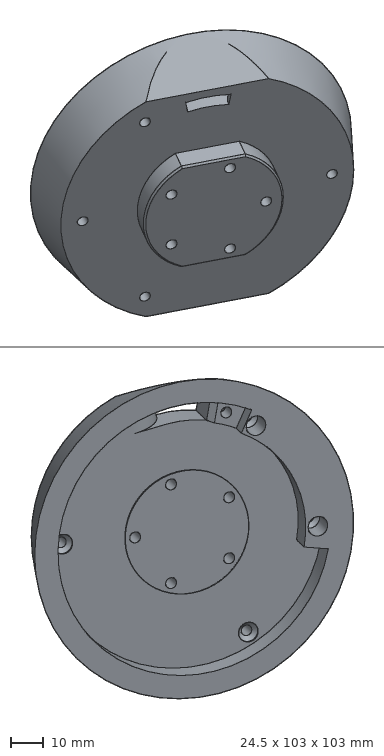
import cadquery as cq
import math

FLANGE_THICKNESS = 17.5
FRONT_RADIUS = 51.5
BACK_RADIUS = 47.0

FLAT_BACK_HEIGHT = 42.6
FLAT_ANGLE = 27.6

BOSS_HEIGHT = 7.0
BOSS_RADIUS = 22.5
BOSS_FLAT_HEIGHT = 20.0
BOSS_CHAMFER = 0.6
OVERALL_LENGTH = FLANGE_THICKNESS + BOSS_HEIGHT

POCKET_DEPTH = 7.5
POCKET_OUTER_RADIUS = 44.0
POCKET_INNER_RADIUS = 36.0
POCKET_END_ANGLE = 350.0
PAD_RADIUS = 20.0
PAD_HEIGHT = 0.5

SHELF_DEPTH = 5.0
SHELF_START_ANGLE = 65.0
SHELF_BEVEL = 2.0

OPENING_START_ANGLE = 80.0
OPENING_END_ANGLE = 101.0
OPENING_BACK_RADIUS = 40.0
RAMP_RADIUS = FLANGE_THICKNESS - POCKET_DEPTH

SHELF_HOLE_ANGLE = (SHELF_START_ANGLE + OPENING_START_ANGLE) / 2
SHELF_HOLE_CIRCLE_RADIUS = 40.0
SHELF_HOLE_DIAMETER = 3.5
SHELF_HOLE_DEPTH = 6.2
DRILL_POINT_ANGLE = 118.0

SCREW_CIRCLE_RADIUS = 40.0
SCREW_ANGLES = (-60, 0, 60, 180)
SCREW_DIAMETER = 3.4
SCREW_HEAD_DIAMETER = 6.3
SCREW_SEAT_DEPTH = 8.0

BOSS_HOLE_CIRCLE_RADIUS = 16.8
BOSS_HOLE_COUNT = 5
BOSS_HOLE_START_ANGLE = 180.0
BOSS_HOLE_DIAMETER = 3.5

CLEARANCE = 5.2


def polar(radius, angle):
    """Point on a face plane, with the angle in degrees."""
    return radius * math.cos(math.radians(angle)), radius * math.sin(math.radians(angle))


def face_plane(depth):
    """Plane facing -X at a depth, with local x along -Y and local y along +Z."""
    return cq.Plane(origin=(depth, 0, 0), xDir=(0, -1, 0), normal=(-1, 0, 0))


def radial_plane(angle, radius):
    """Plane facing outwards along the radius at the angle, with local x along the depth."""
    across, up = polar(1.0, angle)
    return cq.Plane(origin=(0, -across * radius, up * radius), xDir=(1, 0, 0), normal=(0, -across, up))


def drilling(depth, length, radius, angle, diameter):
    """Cylinder along X, starting at the depth."""
    face = cq.Workplane(face_plane(depth))
    return face.center(*polar(radius, angle)).circle(diameter / 2).extrude(-length)


def cone(depth, length, radius, angle, start_diameter, end_diameter=0.0):
    """Cone along X, narrowing from the depth."""
    across, up = polar(radius, angle)
    solid = cq.Solid.makeCone(
        start_diameter / 2, end_diameter / 2, length, cq.Vector(depth, -across, up), cq.Vector(1, 0, 0)
    )
    return cq.Workplane(obj=solid)


def ring_sector(start, end, inner, outer, depth, length):
    """Part of a ring between two angles, cut from the depth towards +X."""
    middle = (start + end) / 2
    return (
        cq.Workplane(face_plane(depth))
        .moveTo(*polar(inner, start))
        .lineTo(*polar(outer, start))
        .threePointArc(polar(outer, middle), polar(outer, end))
        .lineTo(*polar(inner, end))
        .threePointArc(polar(inner, middle), polar(inner, start))
        .close()
        .extrude(-length)
    )


def flange():
    body = (
        cq.Workplane("XY")
        .lineTo(0, FRONT_RADIUS)
        .lineTo(FLANGE_THICKNESS, BACK_RADIUS)
        .lineTo(FLANGE_THICKNESS, 0)
        .close()
        .revolve(360, (0, 0, 0), (1, 0, 0))
    )
    flat_front_height = FLAT_BACK_HEIGHT + FLANGE_THICKNESS * math.tan(math.radians(FLAT_ANGLE))
    between_flats = (
        cq.Workplane("XZ")
        .moveTo(0, -flat_front_height)
        .lineTo(FLANGE_THICKNESS, -FLAT_BACK_HEIGHT)
        .lineTo(FLANGE_THICKNESS, FLAT_BACK_HEIGHT)
        .lineTo(0, flat_front_height)
        .close()
        .extrude(FRONT_RADIUS, both=True)
    )
    return body.intersect(between_flats)


def boss():
    cylinder = cq.Workplane("YZ").workplane(offset=FLANGE_THICKNESS).circle(BOSS_RADIUS).extrude(BOSS_HEIGHT)
    between_flats = cq.Workplane("XY").box(2 * OVERALL_LENGTH, 2 * BOSS_RADIUS, 2 * BOSS_FLAT_HEIGHT)
    return cylinder.intersect(between_flats).faces(">X").chamfer(BOSS_CHAMFER)


def pocket():
    core = cq.Workplane(face_plane(0)).circle(POCKET_INNER_RADIUS).extrude(-POCKET_DEPTH)
    track = ring_sector(
        OPENING_START_ANGLE, POCKET_END_ANGLE, POCKET_INNER_RADIUS, POCKET_OUTER_RADIUS, 0, POCKET_DEPTH
    )
    shelf = ring_sector(
        SHELF_START_ANGLE, OPENING_START_ANGLE, POCKET_INNER_RADIUS, POCKET_OUTER_RADIUS, 0, SHELF_DEPTH
    )
    pad = cq.Workplane(face_plane(POCKET_DEPTH - PAD_HEIGHT)).circle(PAD_RADIUS).extrude(-PAD_HEIGHT)
    return core.union(track).union(shelf).cut(pad)


def shelf_bevel():
    """Wedge that bevels the end of the shelf at 45 degrees."""
    wedge = (
        cq.Workplane(radial_plane(OPENING_START_ANGLE, POCKET_INNER_RADIUS - CLEARANCE))
        .moveTo(SHELF_DEPTH, 0)
        .lineTo(SHELF_DEPTH, -SHELF_BEVEL)
        .lineTo(SHELF_DEPTH + SHELF_BEVEL, 0)
        .close()
        .extrude(POCKET_OUTER_RADIUS - POCKET_INNER_RADIUS + 2 * CLEARANCE)
    )
    pocket_limit = cq.Workplane(face_plane(0)).circle(POCKET_OUTER_RADIUS).extrude(-POCKET_DEPTH)
    return wedge.intersect(pocket_limit)


def opening():
    """Opening narrowing from the pocket wall to the back, with its rounded ramp."""
    slot = ring_sector(
        OPENING_START_ANGLE,
        OPENING_END_ANGLE,
        POCKET_INNER_RADIUS,
        POCKET_OUTER_RADIUS,
        POCKET_DEPTH,
        RAMP_RADIUS,
    )
    arc_middle = RAMP_RADIUS * (1 - math.sqrt(0.5))
    ramp = (
        cq.Workplane(radial_plane(OPENING_END_ANGLE, POCKET_INNER_RADIUS))
        .moveTo(POCKET_DEPTH, 0)
        .lineTo(POCKET_DEPTH, RAMP_RADIUS)
        .threePointArc((POCKET_DEPTH + arc_middle, arc_middle), (FLANGE_THICKNESS, 0))
        .close()
        .extrude(POCKET_OUTER_RADIUS - POCKET_INNER_RADIUS + CLEARANCE)
    )
    taper = cone(POCKET_DEPTH, RAMP_RADIUS, 0, 0, 2 * POCKET_OUTER_RADIUS, 2 * OPENING_BACK_RADIUS)
    return slot.union(ramp).intersect(taper)


def screw_hole(angle):
    """Through hole with a countersink just below the pocket floor, open to the front."""
    sink_depth = (SCREW_HEAD_DIAMETER - SCREW_DIAMETER) / 2
    shank = drilling(0, FLANGE_THICKNESS, SCREW_CIRCLE_RADIUS, angle, SCREW_DIAMETER)
    head = drilling(0, SCREW_SEAT_DEPTH, SCREW_CIRCLE_RADIUS, angle, SCREW_HEAD_DIAMETER)
    sink = cone(SCREW_SEAT_DEPTH, sink_depth, SCREW_CIRCLE_RADIUS, angle, SCREW_HEAD_DIAMETER, SCREW_DIAMETER)
    return shank.union(head).union(sink)


def shelf_hole():
    point_length = SHELF_HOLE_DIAMETER / 2 / math.tan(math.radians(DRILL_POINT_ANGLE / 2))
    point_start = SHELF_DEPTH + SHELF_HOLE_DEPTH
    place = (SHELF_HOLE_CIRCLE_RADIUS, SHELF_HOLE_ANGLE)
    bore = drilling(SHELF_DEPTH, SHELF_HOLE_DEPTH, *place, SHELF_HOLE_DIAMETER)
    point = cone(point_start, point_length, *place, SHELF_HOLE_DIAMETER)
    return bore.union(point)


result = flange().union(boss()).cut(pocket()).cut(shelf_bevel()).cut(opening()).cut(shelf_hole())

for screw_angle in SCREW_ANGLES:
    result = result.cut(screw_hole(screw_angle))

for index in range(BOSS_HOLE_COUNT):
    hole_angle = BOSS_HOLE_START_ANGLE + index * 360 / BOSS_HOLE_COUNT
    result = result.cut(
        drilling(0, OVERALL_LENGTH, BOSS_HOLE_CIRCLE_RADIUS, hole_angle, BOSS_HOLE_DIAMETER)
    )